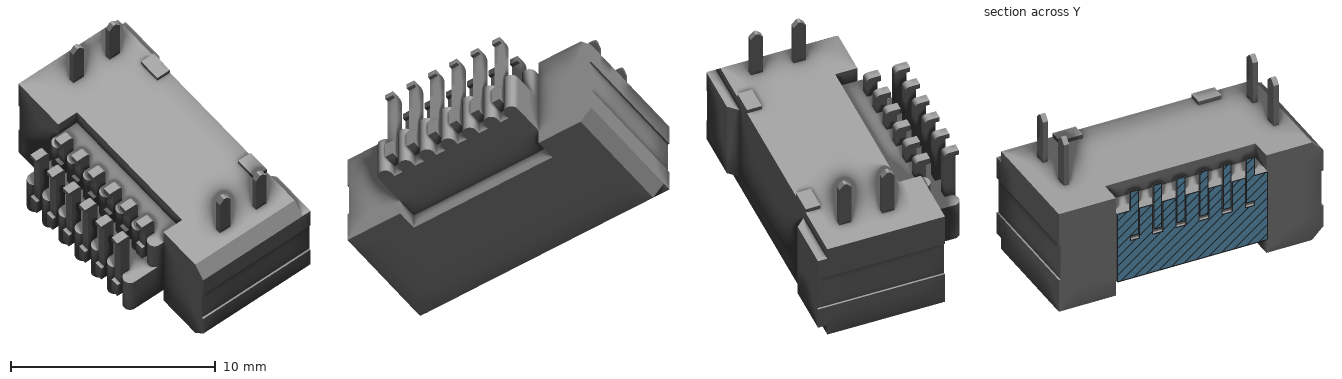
import cadquery as cq


body_width = 14.5
body_depth = 6.2
body_height = 5.73
corner_chamfer = 0.63
side_groove_depth = 0.1
side_groove_low = 1.86
side_groove_high = 3.89

flange_length = 0.49
flange_outer_width = 3.11
flange_slant = 0.46

pad_width = 1.27
pad_depth = 0.78
pad_height = 0.22
pad_spacing = 7.61

carrier_width = 8.25
recess_depth = 1.17
carrier_bottom = 0.87
step_height = 3.12
carrier_top = 4.87
row_pitch = 1.53
upper_reach = 0.63
lower_reach = upper_reach + row_pitch
rib_radius = 0.37

contact_count = 6
contact_pitch = 1.27
contact_width = 0.46
contact_depth = 0.57
contact_reach = 0.77
contact_top = body_height + 0.26
bend_radius = 0.23
upper_hook_height = 0.36
lower_hook_height = 0.28
upper_foot_low = 3.36
upper_foot_high = 4.24
lower_foot_low = 1.57
lower_foot_high = 2.48

clip_thickness = 0.29
clip_spacing = 11.5
leg_width = 0.65
leg_pitch = 2.25
rear_leg_y = 2.44
leg_height = 2.63
tip_height = 0.27
tip_flat = 0.13
bridge_drop = 1.0
bridge_height = 0.65


def box(x_min, x_max, y_min, y_max, z_min, z_max):
    """Box between two opposite corners."""
    size = (x_max - x_min, y_max - y_min, z_max - z_min)
    return cq.Workplane("XY").box(*size, centered=False).translate((x_min, y_min, z_min))


def make_block():
    """Housing block with chamfered +X corners, side grooves and the recess for the carrier."""
    half = body_width / 2
    block = box(-half, half, 0, body_depth, 0, body_height)
    block = block.edges("|Y and >X").chamfer(corner_chamfer)
    inner = half - side_groove_depth
    for x_min, x_max in ((-half, -inner), (inner, half)):
        groove = box(x_min, x_max, 0, body_depth + flange_length, side_groove_low, side_groove_high)
        block = block.union(make_flange(x_min)).cut(groove)
    recess = box(-carrier_width / 2, carrier_width / 2, 0, recess_depth, 0, body_height)
    return block.cut(recess)


def make_flange(side):
    """Flange on the mating end, on the side of X = 0 given by the sign of `side`."""
    outer = body_width / 2
    inner = outer - flange_outer_width
    flange = (
        cq.Workplane("XY", origin=(0, 0, corner_chamfer))
        .moveTo(inner, body_depth)
        .lineTo(outer, body_depth)
        .lineTo(outer, body_depth + flange_length)
        .lineTo(inner + flange_slant, body_depth + flange_length)
        .close()
        .extrude(body_height - 2 * corner_chamfer)
    )
    return flange if side > 0 else flange.mirror("YZ")


def make_pads():
    """Two keying pads at the mating edge of the housing top."""
    pad = box(-pad_width / 2, pad_width / 2, body_depth - pad_depth, body_depth,
              body_height, body_height + pad_height)
    return pad.translate((-pad_spacing / 2, 0, 0)).union(pad.translate((pad_spacing / 2, 0, 0)))


def make_carrier_half(reach, slot_floor, z_min, z_max):
    """Carrier slab whose front face is a row of round-nosed ribs between the contacts."""
    half = carrier_width / 2
    slab = box(-half, half, slot_floor, recess_depth, z_min, z_max)
    nose_y = rib_radius - reach
    for index in range(contact_count + 1):
        x = (index - contact_count / 2) * contact_pitch
        limit = half - rib_radius
        x = max(-limit, min(limit, x))
        rib = (
            cq.Workplane("XY", origin=(0, 0, z_min))
            .moveTo(x - rib_radius, slot_floor)
            .lineTo(x - rib_radius, nose_y)
            .threePointArc((x, -reach), (x + rib_radius, nose_y))
            .lineTo(x + rib_radius, slot_floor)
            .close()
            .extrude(z_max - z_min)
        )
        slab = slab.union(rib)
    return slab


def make_contact_row(back, hook_height, foot_low, foot_high):
    """Row of flat contacts with a hooked, rounded top and a foot at the lower end."""
    front = back - contact_depth
    tip = back - contact_reach
    hook_low = contact_top - hook_height
    contact = (
        cq.Workplane("YZ", origin=(-contact_width / 2, 0, 0))
        .moveTo(back, foot_low)
        .lineTo(back, contact_top - bend_radius)
        .radiusArc((back - bend_radius, contact_top), -bend_radius)
        .lineTo(tip, contact_top)
        .lineTo(tip, hook_low)
        .lineTo(front, hook_low)
        .lineTo(front, foot_high)
        .lineTo(tip, foot_high)
        .lineTo(tip, foot_low)
        .close()
        .extrude(contact_width)
    )
    row = cq.Workplane("XY")
    for index in range(contact_count):
        x = (index - (contact_count - 1) / 2) * contact_pitch
        row = row.add(contact.translate((x, 0, 0)))
    return row.combine()


def make_clip(x):
    """Flat hold-down clip lying in a YZ plane centred on x."""
    bridge_top = body_height - bridge_drop
    bridge_low = bridge_top - bridge_height
    tip = body_height + leg_height
    shoulder = tip - tip_height
    first_y = rear_leg_y - leg_width / 2
    last_y = rear_leg_y + leg_pitch + leg_width / 2
    left = x - clip_thickness / 2
    clip = box(left, left + clip_thickness, first_y, last_y, bridge_low, bridge_top)
    for y in (rear_leg_y, rear_leg_y + leg_pitch):
        leg = (
            cq.Workplane("YZ", origin=(left, 0, 0))
            .moveTo(y - leg_width / 2, bridge_low)
            .lineTo(y + leg_width / 2, bridge_low)
            .lineTo(y + leg_width / 2, shoulder)
            .lineTo(y + tip_flat / 2, tip)
            .lineTo(y - tip_flat / 2, tip)
            .lineTo(y - leg_width / 2, shoulder)
            .close()
            .extrude(clip_thickness)
        )
        clip = clip.union(leg)
    return clip


clips = [make_clip(side * clip_spacing / 2) for side in (-1, 1)]

housing = (
    make_block()
    .union(make_pads())
    .union(make_carrier_half(upper_reach, 0, step_height, carrier_top))
    .union(make_carrier_half(lower_reach, -row_pitch, carrier_bottom, step_height))
    .union(make_contact_row(0, upper_hook_height, upper_foot_low, upper_foot_high))
    .union(make_contact_row(-row_pitch, lower_hook_height, lower_foot_low, lower_foot_high))
)
for clip in clips:
    housing = housing.cut(clip)

result = cq.Compound.makeCompound([housing.val(), *[clip.val() for clip in clips]])